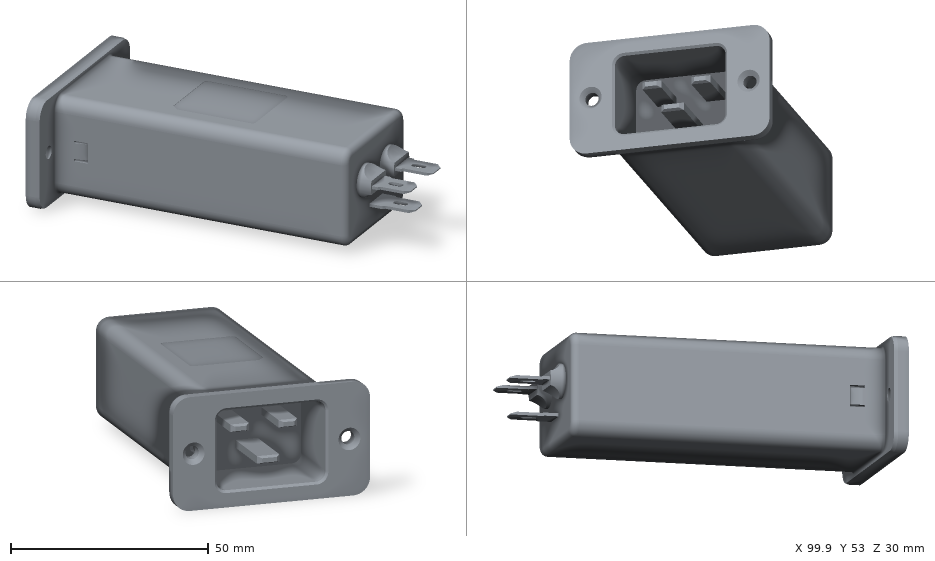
import cadquery as cq
import math

total_length = 99.9

flange_width = 53.0
flange_height = 30.0
flange_thickness = 3.8
flange_corner_radius = 4.5
flange_bevel_length = 1.0
flange_bevel_inset = 0.3

screw_spacing = 42.0
screw_diameter = 3.5
screw_sink_diameter = 5.9
screw_sink_angle = 90.0

body_width = 34.6
body_height = 26.8
body_end = 85.9
body_corner_radius = 3.6
body_end_radius = 1.8
body_root_radius = 0.5

cavity_width = 29.4
cavity_height = 21.2
cavity_depth = 19.0
cavity_corner_radius = 2.5
cavity_mouth_chamfer = 0.6

pin_thickness = 2.0
pin_tip_length = 1.0
pin_tip_side_inset = 1.0
pin_tip_face_inset = 0.4
line_pin_start = 5.0
line_pin_width = 5.0
line_pin_spacing = 13.0
line_pin_z = 4.0
earth_pin_start = 1.6
earth_pin_width = 6.0
earth_pin_z = -4.0

label_start = 32.9
label_length = 23.6
label_width = 20.2
label_depth = 0.1
label_corner_radius = 0.9
label_corner_cut = 1.8

latch_root = 9.1
latch_ramp_start = 9.8
latch_ramp_end = 12.8
latch_ramp_drop = 0.6
latch_height = 4.4
latch_side_gap = 0.6
latch_end_gap = 0.3
latch_gap_depth = 1.5

tab_spacing = 13.4
tab_width = 6.4
tab_shoulder_width = 7.6
tab_shoulder_to_tip = 8.4
tab_shoulder_slope = 0.5
tab_thickness = 0.8
tab_tip_bevel = 1.3
tab_tip_face_inset = 0.25
tab_slot_length = 4.0
tab_slot_width = 1.9
tab_slot_to_tip = 5.1
line_tab_z = 2.1
earth_tab_z = -6.0
earth_tab_end = 98.0

boss_diameter = 9.0
boss_length = 4.0
boss_straight_length = 0.8
boss_tip_height = 3.8
boss_waist_sag = 0.5

overlap = 1.0
selection_margin = 0.01


def block(start, length, width, height):
    """Box along X from start, centred on Y and Z."""
    return cq.Workplane("YZ").workplane(offset=start).rect(width, height).extrude(length)


def make_flange():
    plate = block(0, flange_thickness, flange_width, flange_height)
    plate = plate.edges("|X").fillet(flange_corner_radius)
    return plate.faces(">X").chamfer(flange_bevel_length, flange_bevel_inset)


def make_body():
    body = block(0, body_end, body_width, body_height)
    body = body.edges("|X").fillet(body_corner_radius)
    return body.faces(">X").edges().fillet(body_end_radius)


def ring_selector(x, width, height):
    """Selects the edges lying at one X inside a centred width by height frame."""
    return cq.selectors.BoxSelector(
        (x - selection_margin, -width / 2 - selection_margin, -height / 2 - selection_margin),
        (x + selection_margin, width / 2 + selection_margin, height / 2 + selection_margin),
        boundingbox=True,
    )


def make_housing():
    """Flange and body joined with a small fillet where the body leaves the flange."""
    housing = make_flange().union(make_body())
    root = ring_selector(flange_thickness, body_width, body_height)
    return housing.edges(root).fillet(body_root_radius)


def cut_cavity(housing):
    """Blind socket opening from the flange face, with a chamfered mouth."""
    cavity = block(0, cavity_depth, cavity_width, cavity_height)
    cavity = cavity.edges("|X").fillet(cavity_corner_radius)
    mouth = ring_selector(0, cavity_width, cavity_height)
    return housing.cut(cavity).edges(mouth).chamfer(cavity_mouth_chamfer)


def make_pin(tip_start, width, y, z):
    """Contact pin standing on the cavity floor, tapered at its tip."""
    shank_start = tip_start + pin_tip_length
    shank = block(shank_start, cavity_depth + overlap - shank_start, width, pin_thickness)
    tip = (
        cq.Workplane("YZ")
        .workplane(offset=tip_start)
        .rect(width - 2 * pin_tip_side_inset, pin_thickness - 2 * pin_tip_face_inset)
        .workplane(offset=pin_tip_length)
        .rect(width, pin_thickness)
        .loft(ruled=True)
    )
    return shank.union(tip).translate((0, y, z))


def make_label_recess():
    """Shallow label field in the top with three round corners and one cut corner."""
    label = (
        cq.Workplane("XY")
        .workplane(offset=body_height / 2 - label_depth)
        .center(label_start + label_length / 2, 0)
        .rect(label_length, label_width)
        .extrude(label_depth)
    )
    label = label.edges("|Z and (>X or >Y)").fillet(label_corner_radius)
    return label.edges("|Z and <X and <Y").chamfer(label_corner_cut)


def make_tab(end, y, z):
    """Flat slotted terminal with a wider shoulder and a bevelled tip."""
    shoulder = end - tab_shoulder_to_tip
    half_wide = tab_shoulder_width / 2
    half = tab_width / 2
    tip_corner = end - tab_tip_bevel
    half_tip = half - tab_tip_bevel
    upper_edge = [
        (body_end - overlap, half_wide),
        (shoulder, half_wide),
        (shoulder + tab_shoulder_slope, half),
        (tip_corner, half),
        (end, half_tip),
    ]
    lower_edge = [(px, -py) for px, py in reversed(upper_edge)]
    blade = cq.Workplane("XY").polyline(upper_edge + lower_edge).close().extrude(tab_thickness / 2, both=True)

    face = tab_thickness / 2
    tip_face = face - tab_tip_face_inset
    side = [
        (body_end - overlap, face),
        (tip_corner, face),
        (end, tip_face),
        (end, -tip_face),
        (tip_corner, -face),
        (body_end - overlap, -face),
    ]
    envelope = cq.Workplane("XZ").polyline(side).close().extrude(tab_shoulder_width, both=True)
    slot = (
        cq.Workplane("XY")
        .center(end - tab_slot_to_tip, 0)
        .slot2D(tab_slot_length, tab_slot_width)
        .extrude(tab_thickness, both=True)
    )
    return blade.intersect(envelope).cut(slot).translate((0, y, z))


def make_boss(y, z):
    """Round boss whose top and bottom are hollowed to a narrow tip around the terminal."""
    straight_end = body_end + boss_straight_length
    tip = body_end + boss_length
    radius = boss_diameter / 2
    half_tip = boss_tip_height / 2
    middle = ((straight_end + tip) / 2, (radius + half_tip) / 2)
    run = tip - straight_end
    rise = radius - half_tip
    slant = math.hypot(run, rise)
    waist_x = middle[0] - boss_waist_sag * rise / slant
    waist_z = middle[1] - boss_waist_sag * run / slant
    side = (
        cq.Workplane("XZ")
        .moveTo(body_end - overlap, radius)
        .lineTo(straight_end, radius)
        .threePointArc((waist_x, waist_z), (tip, half_tip))
        .lineTo(tip, -half_tip)
        .threePointArc((waist_x, -waist_z), (straight_end, -radius))
        .lineTo(body_end - overlap, -radius)
        .close()
        .extrude(boss_diameter, both=True)
    )
    cylinder = (
        cq.Workplane("YZ")
        .workplane(offset=body_end - overlap)
        .circle(radius)
        .extrude(boss_length + overlap)
    )
    return cylinder.intersect(side).translate((0, y, z))


def make_latch_gap():
    """Material removed round a tongue in the -Y wall: a U-shaped slit and the ramp sunk into the tongue."""
    wall = -body_width / 2
    slit_end = latch_ramp_end + latch_end_gap
    slit_length = slit_end - latch_root
    slit_height = latch_height + 2 * latch_side_gap
    slit = cq.Workplane("XY").box(
        slit_length, latch_gap_depth, slit_height, centered=(False, False, True)
    )
    tongue = cq.Workplane("XY").box(
        latch_ramp_end - latch_root, latch_gap_depth, latch_height, centered=(False, False, True)
    )
    slit = slit.cut(tongue).translate((latch_root, wall, 0))
    ramp = (
        cq.Workplane("XY")
        .polyline([(latch_ramp_start, wall), (latch_ramp_end, wall), (latch_ramp_end, wall + latch_ramp_drop)])
        .close()
        .extrude(latch_height / 2, both=True)
    )
    return slit.union(ramp)


def drill_screw_holes(housing):
    return (
        housing.faces("<X")
        .workplane(origin=(0, 0, 0))
        .pushPoints([(-screw_spacing / 2, 0), (screw_spacing / 2, 0)])
        .cskHole(screw_diameter, screw_sink_diameter, screw_sink_angle, depth=flange_thickness)
    )


latch_gap = make_latch_gap()

result = drill_screw_holes(cut_cavity(make_housing()))
result = result.cut(make_label_recess())
result = result.cut(latch_gap).cut(latch_gap.mirror("XZ"))

for side in (-1, 1):
    result = result.union(make_pin(line_pin_start, line_pin_width, side * line_pin_spacing / 2, line_pin_z))
    result = result.union(make_boss(side * tab_spacing / 2, line_tab_z))
    result = result.union(make_tab(total_length, side * tab_spacing / 2, line_tab_z))

result = result.union(make_pin(earth_pin_start, earth_pin_width, 0, earth_pin_z))
result = result.union(make_tab(earth_tab_end, 0, earth_tab_z))